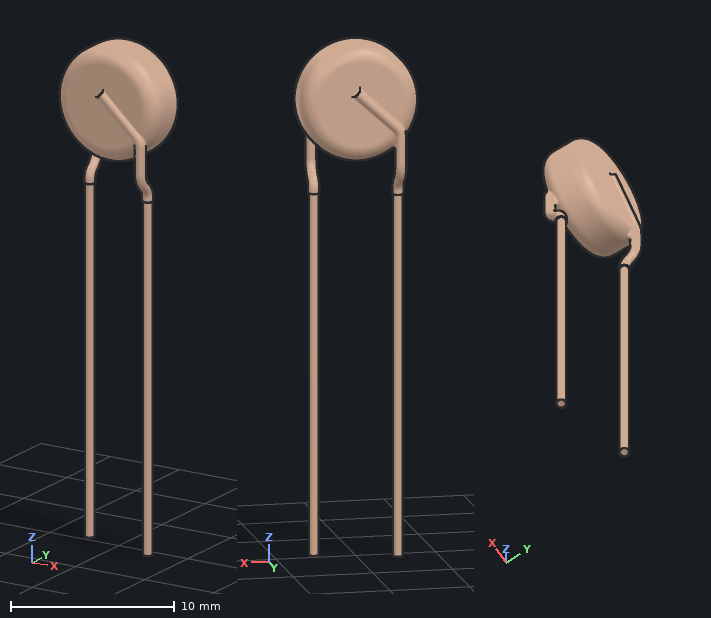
import math

import cadquery as cq

disc_diameter = 7.4
disc_thickness = 3.3
disc_edge_radius = 1.0

total_height = 32.4
total_depth = 3.7
coated_diameter = 0.7
bare_diameter = 0.6
lead_spacing = 5.0
bare_lead_y = 0.65
coating_fillet = 0.15
contact_tolerance = 1e-4

tip_x = -0.26
elbow_z = -2.2
elbow_radius = 0.9
slant_angle = 42.5

bend_top_z = -3.94
bend_angle = 52.0
upper_bend_radius = 1.32
collar_length = 0.25

lead_x = lead_spacing / 2
coated_lead_y = (total_depth - coated_diameter) / 2
lead_bottom_z = disc_diameter / 2 - total_height


def make_disc():
    back_face = cq.Workplane("XZ", origin=(0, disc_thickness / 2, 0))
    disc = back_face.circle(disc_diameter / 2).extrude(disc_thickness)
    return disc.edges().fillet(disc_edge_radius)


def make_slanted_run():
    """Coated lead from its tip on the front face to the top of the offset bend."""
    turn = math.radians(90 - slant_angle)
    start_x = lead_x - elbow_radius * (1 - math.cos(turn))
    start_z = elbow_z + elbow_radius * math.sin(turn)
    middle_x = lead_x - elbow_radius * (1 - math.cos(turn / 2))
    middle_z = elbow_z + elbow_radius * math.sin(turn / 2)
    tip_z = start_z + (start_x - tip_x) * math.tan(math.radians(slant_angle))
    path = (
        cq.Workplane("XZ", origin=(0, -coated_lead_y, 0))
        .moveTo(lead_x, bend_top_z)
        .lineTo(lead_x, elbow_z)
        .threePointArc((middle_x, middle_z), (start_x, start_z))
        .lineTo(tip_x, tip_z)
    )
    section = cq.Workplane("XY", origin=(lead_x, -coated_lead_y, bend_top_z)).circle(coated_diameter / 2)
    return section.sweep(path)


def lower_bend_size():
    """Radius of the lower bend, and the height where the bend ends."""
    turn = math.radians(bend_angle)
    radius_sum = (coated_lead_y - bare_lead_y) / (1 - math.cos(turn))
    return radius_sum - upper_bend_radius, bend_top_z - radius_sum * math.sin(turn)


def make_offset_bend():
    """Coated S-bend that brings the lead in toward the disc mid-plane, with its collar."""
    turn = math.radians(bend_angle)
    lower_bend_radius, bend_bottom_z = lower_bend_size()

    def upper_point(angle):
        y = -coated_lead_y + upper_bend_radius * (1 - math.cos(angle))
        return y, bend_top_z - upper_bend_radius * math.sin(angle)

    def lower_point(angle):
        y = -bare_lead_y - lower_bend_radius * (1 - math.cos(angle))
        return y, bend_bottom_z + lower_bend_radius * math.sin(angle)

    path = (
        cq.Workplane("YZ", origin=(lead_x, 0, 0))
        .moveTo(-coated_lead_y, bend_top_z)
        .threePointArc(upper_point(turn / 2), upper_point(turn))
        .threePointArc(lower_point(turn / 2), (-bare_lead_y, bend_bottom_z))
        .lineTo(-bare_lead_y, bend_bottom_z - collar_length)
    )
    section = cq.Workplane("XY", origin=(lead_x, -coated_lead_y, bend_top_z)).circle(coated_diameter / 2)
    return section.sweep(path)


def make_bare_lead():
    bend_bottom_z = lower_bend_size()[1]
    return (
        cq.Workplane("XY", origin=(lead_x, -bare_lead_y, lead_bottom_z))
        .circle(bare_diameter / 2)
        .extrude(bend_bottom_z - lead_bottom_z)
    )


def blend_onto_disc(disc, leads):
    """Join the leads to the disc with a fillet along every edge where they meet."""
    joined = disc.union(leads)

    def is_on_both(edge):
        point = cq.Vertex.makeVertex(*edge.positionAt(0.5).toTuple())
        return all(
            min(face.distance(point) for face in shape.faces().vals()) < contact_tolerance
            for shape in (disc, leads)
        )

    return joined.edges().filter(is_on_both).fillet(coating_fillet)


def on_both_sides(lead_part):
    """The front lead part and its copy for the back lead, half a turn about Z."""
    return lead_part.union(lead_part.rotate((0, 0, 0), (0, 0, 1), 180))


body = blend_onto_disc(make_disc(), on_both_sides(make_slanted_run()))
result = body.union(on_both_sides(make_offset_bend())).union(on_both_sides(make_bare_lead()))